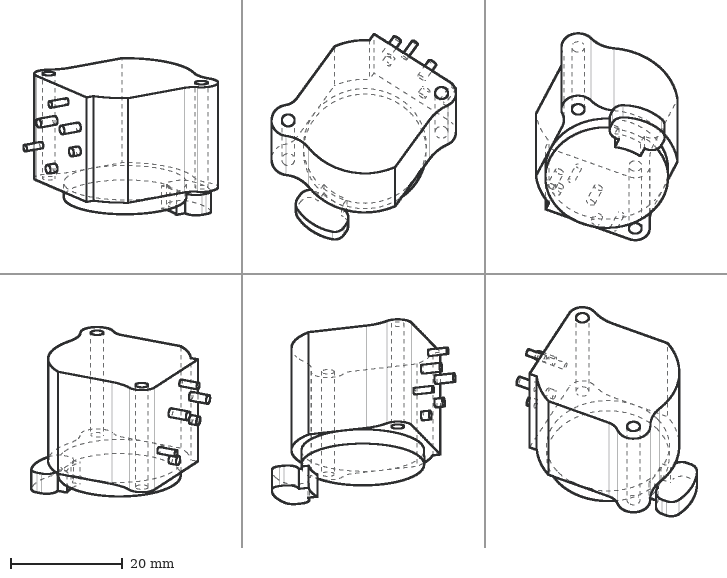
import cadquery as cq
import math

BODY_HEIGHT = 19.5
BODY_RADIUS = 12.8
SIDE_WALL_X = 11.0
MOUNT_HOLE_CIRCLE_RADIUS = 13.97
MOUNT_HOLE_DIAMETER = 2.3
FRONT_LOBE_RADIUS = 2.6
REAR_LOBE_RADIUS = 3.0
FRONT_LOBE_BLEND = 8.3
REAR_LOBE_WALL_BLEND = 3.0
REAR_LOBE_DRUM_BLEND = 6.0
FRONT_FACE_RIGHT_X = 6.5

DIAGONAL = math.sqrt(0.5)
LOBE_OFFSET = MOUNT_HOLE_CIRCLE_RADIUS * DIAGONAL
FRONT_LOBE = (-LOBE_OFFSET, -LOBE_OFFSET)
REAR_LOBE = (LOBE_OFFSET, LOBE_OFFSET)
FRONT_FACE_Y = FRONT_LOBE[1] - FRONT_LOBE_RADIUS

DISC_RADIUS = 11.0
DISC_HEIGHT = 2.7

STEM_WIDTH = 5.0
STEM_INNER_RADIUS = 9.7
PAD_GAP = 0.4
PAD_HEIGHT = 3.8
PAD_WIDTH = 10.0
PAD_INNER_Y = 11.2
PAD_TIP_Y = 16.64
PAD_TIP_RADIUS = 10.0
PAD_CORNER_RADIUS = 2.0
STEM_HEIGHT = PAD_GAP + PAD_HEIGHT
LEVER_BOTTOM_Z = -DISC_HEIGHT - STEM_HEIGHT

PIN_PITCH = 1.27
GRID = PIN_PITCH / 2
TERMINAL_DIAMETER = 1.2
POST_DIAMETER = 1.6
LONG_PIN = 3.5
SHORT_PIN = 1.5
PINS = [
    (0, 27, TERMINAL_DIAMETER, LONG_PIN),
    (-13, 11, TERMINAL_DIAMETER, LONG_PIN),
    (-6, 20, POST_DIAMETER, LONG_PIN),
    (6, 21, POST_DIAMETER, LONG_PIN),
    (6, 14, POST_DIAMETER, SHORT_PIN),
    (-6, 6, POST_DIAMETER, SHORT_PIN),
]


def toward(start, target, distance):
    """Point at the given distance from start on the line to target."""
    dx = target[0] - start[0]
    dy = target[1] - start[1]
    ratio = distance / math.hypot(dx, dy)
    return (start[0] + dx * ratio, start[1] + dy * ratio)


def half_chord(radius, distance):
    """Half the length of a circle's chord at the given distance from its center."""
    return math.sqrt(radius**2 - distance**2)


def wall_blend_center(lobe, lobe_radius, blend_radius):
    """Center of a blend tangent to a lobe and to the side wall next to it, on the wall's outer side."""
    side = math.copysign(1, lobe[0])
    x = side * (SIDE_WALL_X + blend_radius)
    drop = half_chord(lobe_radius + blend_radius, x - lobe[0])
    return (x, lobe[1] - side * drop)


def drum_blend_center():
    """Center of the blend tangent to the drum and to the rear lobe, on the rear side."""
    to_axis = BODY_RADIUS + REAR_LOBE_DRUM_BLEND
    to_lobe = REAR_LOBE_RADIUS + REAR_LOBE_DRUM_BLEND
    span = MOUNT_HOLE_CIRCLE_RADIUS
    along = (to_axis**2 - to_lobe**2 + span**2) / (2 * span)
    across = half_chord(to_axis, along)
    return ((along - across) * DIAGONAL, (along + across) * DIAGONAL)


def arc_middle(center, radius, start, end):
    """Middle of the shorter arc from start to end."""
    chord_middle = ((start[0] + end[0]) / 2, (start[1] + end[1]) / 2)
    return toward(center, chord_middle, radius)


def make_body():
    axis = (0, 0)
    front_blend = wall_blend_center(FRONT_LOBE, FRONT_LOBE_RADIUS, FRONT_LOBE_BLEND)
    rear_blend = wall_blend_center(REAR_LOBE, REAR_LOBE_RADIUS, REAR_LOBE_WALL_BLEND)
    drum_blend = drum_blend_center()

    front_face_left = (FRONT_LOBE[0], FRONT_FACE_Y)
    notch = (FRONT_FACE_RIGHT_X, -half_chord(BODY_RADIUS, FRONT_FACE_RIGHT_X))
    right_wall_front = (SIDE_WALL_X, -half_chord(BODY_RADIUS, SIDE_WALL_X))
    right_wall_rear = (SIDE_WALL_X, rear_blend[1])
    rear_lobe_start = toward(REAR_LOBE, rear_blend, REAR_LOBE_RADIUS)
    rear_lobe_outermost = toward(REAR_LOBE, axis, -REAR_LOBE_RADIUS)
    rear_lobe_end = toward(REAR_LOBE, drum_blend, REAR_LOBE_RADIUS)
    drum_start = toward(axis, drum_blend, BODY_RADIUS)
    left_wall_rear = (-SIDE_WALL_X, half_chord(BODY_RADIUS, SIDE_WALL_X))
    left_wall_front = (-SIDE_WALL_X, front_blend[1])
    front_lobe_start = toward(FRONT_LOBE, front_blend, FRONT_LOBE_RADIUS)
    front_lobe_outermost = toward(FRONT_LOBE, axis, -FRONT_LOBE_RADIUS)

    front_corner_arc = arc_middle(axis, BODY_RADIUS, notch, right_wall_front)
    rear_blend_arc = arc_middle(rear_blend, REAR_LOBE_WALL_BLEND, right_wall_rear, rear_lobe_start)
    drum_blend_arc = arc_middle(drum_blend, REAR_LOBE_DRUM_BLEND, rear_lobe_end, drum_start)
    drum_arc = arc_middle(axis, BODY_RADIUS, drum_start, left_wall_rear)
    front_blend_arc = arc_middle(front_blend, FRONT_LOBE_BLEND, left_wall_front, front_lobe_start)

    outline = (
        cq.Workplane("XY")
        .moveTo(*front_face_left)
        .lineTo(FRONT_FACE_RIGHT_X, FRONT_FACE_Y)
        .lineTo(*notch)
        .threePointArc(front_corner_arc, right_wall_front)
        .lineTo(*right_wall_rear)
        .threePointArc(rear_blend_arc, rear_lobe_start)
        .threePointArc(rear_lobe_outermost, rear_lobe_end)
        .threePointArc(drum_blend_arc, drum_start)
        .threePointArc(drum_arc, left_wall_rear)
        .lineTo(*left_wall_front)
        .threePointArc(front_blend_arc, front_lobe_start)
        .threePointArc(front_lobe_outermost, front_face_left)
        .close()
    )
    mount_holes = (
        cq.Workplane("XY")
        .pushPoints([FRONT_LOBE, REAR_LOBE])
        .circle(MOUNT_HOLE_DIAMETER / 2)
        .extrude(BODY_HEIGHT)
    )
    return outline.extrude(BODY_HEIGHT).cut(mount_holes)


def make_disc():
    return cq.Workplane("XY").circle(DISC_RADIUS).extrude(-DISC_HEIGHT)


def make_stem():
    """Ring segment under the disc rim, with a bridge that joins it to the pad."""
    inner_y = half_chord(STEM_INNER_RADIUS, STEM_WIDTH / 2)
    rim_y = half_chord(DISC_RADIUS, STEM_WIDTH / 2)
    half = STEM_WIDTH / 2
    level = cq.Workplane("XY").workplane(offset=LEVER_BOTTOM_Z)
    rim = (
        level.moveTo(-half, inner_y)
        .threePointArc((0, STEM_INNER_RADIUS), (half, inner_y))
        .lineTo(half, rim_y)
        .threePointArc((0, DISC_RADIUS), (-half, rim_y))
        .close()
        .extrude(STEM_HEIGHT)
    )
    bridge = (
        level.moveTo(-half, rim_y)
        .threePointArc((0, DISC_RADIUS), (half, rim_y))
        .lineTo(half, PAD_INNER_Y)
        .lineTo(-half, PAD_INNER_Y)
        .close()
        .extrude(PAD_HEIGHT)
    )
    return rim.union(bridge)


def make_pad():
    half = PAD_WIDTH / 2
    shoulder_y = PAD_TIP_Y - PAD_TIP_RADIUS + half_chord(PAD_TIP_RADIUS, half)
    return (
        cq.Workplane("XY")
        .workplane(offset=LEVER_BOTTOM_Z)
        .moveTo(-half, PAD_INNER_Y)
        .lineTo(half, PAD_INNER_Y)
        .lineTo(half, shoulder_y)
        .threePointArc((0, PAD_TIP_Y), (-half, shoulder_y))
        .close()
        .extrude(PAD_HEIGHT)
        .edges("|Z")
        .fillet(PAD_CORNER_RADIUS)
    )


def make_pin(x_steps, z_steps, diameter, length):
    return (
        cq.Workplane("XZ", origin=(0, FRONT_FACE_Y, 0))
        .center(x_steps * GRID, z_steps * GRID)
        .circle(diameter / 2)
        .extrude(length)
    )


result = make_body().union(make_disc()).union(make_stem()).union(make_pad())
for pin in PINS:
    result = result.union(make_pin(*pin))